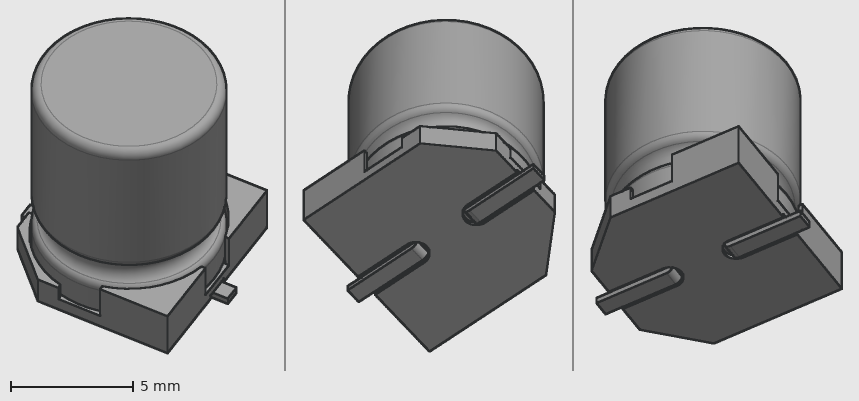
import cadquery as cq
import math

total_height = 10.1
lead_span = 9.7

base_width = 8.3
base_underside = 0.12
base_corner_cut = 2.21
pocket_floor = 0.73
low_wall_top = 1.38
high_wall_top = 2.28
pocket_radius = 4.08
side_slot_width = 1.96

can_radius = 4.0
can_top_rounding = 0.4
neck_radius = 3.4
neck_height = 2.84
neck_arc_radius = 0.61
shoulder_arc_radius = 0.38

lead_width = 0.74
lead_thickness = 0.31
lead_inner_end = 1.21
lead_end_rounding = 0.3
groove_width = 1.13


def base_outline():
    """Square with the two -X corners cut off."""
    half = base_width / 2
    cut_edge = half - base_corner_cut
    return [
        (half, -half),
        (half, half),
        (-cut_edge, half),
        (-half, cut_edge),
        (-half, -cut_edge),
        (-cut_edge, -half),
    ]


def make_base():
    base = (
        cq.Workplane("XY", origin=(0, 0, base_underside))
        .polyline(base_outline())
        .close()
        .extrude(high_wall_top - base_underside)
    )

    low_side_shift = (side_slot_width - base_width) / 2
    low_side = (
        cq.Workplane("XY", origin=(low_side_shift, 0, low_wall_top))
        .rect(base_width, base_width)
        .extrude(high_wall_top - low_wall_top)
    )
    base = base.cut(low_side)

    wall_height = high_wall_top - pocket_floor
    for length, width in ((base_width, side_slot_width), (side_slot_width, base_width)):
        slot = cq.Workplane("XY", origin=(0, 0, pocket_floor)).rect(length, width).extrude(wall_height)
        base = base.cut(slot)

    pocket = cq.Workplane("XY", origin=(0, 0, pocket_floor)).circle(pocket_radius).extrude(wall_height)
    return base.cut(pocket)


def make_can():
    """Revolved can: an S-curve on each side of the neck joins it to the can wall."""
    neck_depth = can_radius - neck_radius
    arc_sum = neck_arc_radius + shoulder_arc_radius
    turn = math.acos(1 - neck_depth / arc_sum)
    half_neck_height = arc_sum * math.sin(turn)

    join_radius = neck_radius + neck_arc_radius * (1 - math.cos(turn))
    join_offset = neck_arc_radius * math.sin(turn)

    shoulder_radius = can_radius - shoulder_arc_radius * (1 - math.cos(turn / 2))
    shoulder_offset = half_neck_height - shoulder_arc_radius * math.sin(turn / 2)

    lower_shoulder = (shoulder_radius, neck_height - shoulder_offset)
    lower_join = (join_radius, neck_height - join_offset)
    neck = (neck_radius, neck_height)
    upper_join = (join_radius, neck_height + join_offset)
    upper_shoulder = (shoulder_radius, neck_height + shoulder_offset)
    upper_wall_start = (can_radius, neck_height + half_neck_height)

    return (
        cq.Workplane("XZ")
        .moveTo(0, pocket_floor)
        .lineTo(can_radius, pocket_floor)
        .lineTo(can_radius, neck_height - half_neck_height)
        .threePointArc(lower_shoulder, lower_join)
        .threePointArc(neck, upper_join)
        .threePointArc(upper_shoulder, upper_wall_start)
        .lineTo(can_radius, total_height)
        .lineTo(0, total_height)
        .close()
        .revolve(360, (0, 0, 0), (0, 1, 0))
        .faces(">Z")
        .edges()
        .fillet(can_top_rounding)
    )


def make_groove():
    """Lead groove in the -X half of the underside, with a half-round inner end."""
    side_clearance = (groove_width - lead_width) / 2
    end_radius = groove_width / 2
    end_centre = -(lead_inner_end - side_clearance + end_radius)
    outer_end = -base_width / 2
    return (
        cq.Workplane("XY", origin=(0, 0, base_underside))
        .moveTo(outer_end, -end_radius)
        .lineTo(end_centre, -end_radius)
        .threePointArc((end_centre + end_radius, 0), (end_centre, end_radius))
        .lineTo(outer_end, end_radius)
        .close()
        .extrude(lead_thickness - base_underside)
    )


def make_lead():
    """Flat lead on the -X side, rounded under its inner end."""
    length = lead_span / 2 - lead_inner_end
    return (
        cq.Workplane("XY")
        .box(length, lead_width, lead_thickness, centered=(False, True, False))
        .translate((-lead_span / 2, 0, 0))
        .edges(">X and <Z")
        .fillet(lead_end_rounding)
    )


base = make_base()
leads = []
for angle in (0, 180):
    base = base.cut(make_groove().rotate((0, 0, 0), (0, 0, 1), angle))
    leads.append(make_lead().rotate((0, 0, 0), (0, 0, 1), angle))

result = base.union(make_can())
for lead in leads:
    result = result.union(lead)